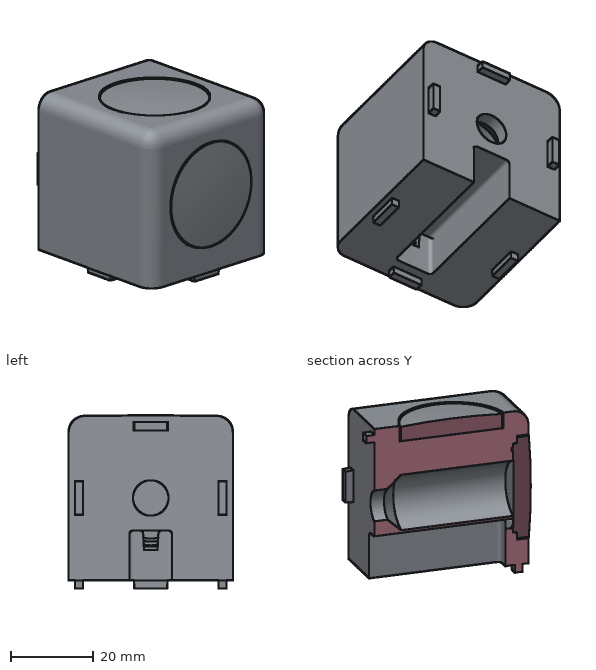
import cadquery as cq
import math

SIDE = 40.0
HALF = SIDE / 2
EDGE_RADIUS = 4.0

TAB_HEIGHT = 2.0
TAB_THICKNESS = 2.0
TAB_LENGTH = 8.27
TAB_END_DRAFT = 0.13
TAB_INSET = 1.55
TAB_OFFSET = HALF - TAB_INSET - TAB_THICKNESS / 2

CAP_RADIUS = 13.3
CAP_GAP = 0.2
DOME_RADIUS = 170.55
DOME_SAG = DOME_RADIUS - math.sqrt(DOME_RADIUS**2 - CAP_RADIUS**2)
TOP_CAP_RISE = 0.2
TOP_CAP_DEPTH = 4.0
FRONT_CAP_RISE = 0.65
RIM_DEPTH = 3.0

HUB_DEPTH = 4.0
HUB_RADIUS = 11.5
HUB_FOOT_RADIUS = 11.8
RIDGE_RADIUS = 10.25
RIDGE_HALF_WIDTH = 0.4

HOLE_RADIUS = 4.3
HOLE_LENGTH = 3.5
BORE_RADIUS = 7.35
FLARE_LENGTH = 3.5

SLOT_WIDTH = 10.45
SLOT_HEIGHT = 12.05
SLOT_CORNER_RADIUS = 1.0
SLOT_END_WALL = 2.0
SLOT_LENGTH = SIDE - HUB_DEPTH - SLOT_END_WALL
SLOT_CEILING = SLOT_HEIGHT - HALF
NOTCH_TOP_WIDTH = 3.65
NOTCH_BOTTOM_WIDTH = 3.25
NOTCH_FLARE = 0.75
NOTCH_REACH = 12.7


def rounded_cube():
    """Cube with its +X and top edges rounded; the -X and bottom edges stay sharp."""
    cube = cq.Workplane("XY").box(SIDE, SIDE, SIDE)
    return cube.edges("(|X and >Z) or (>X and |Z) or (>X and >Z)").fillet(EDGE_RADIUS)


def tab():
    """Tab standing on the XY plane, long along X, with slightly drafted ends."""
    half_length = TAB_LENGTH / 2
    tip = half_length - TAB_END_DRAFT
    outline = [(-half_length, 0), (half_length, 0), (tip, TAB_HEIGHT), (-tip, TAB_HEIGHT)]
    return cq.Workplane("XZ").polyline(outline).close().extrude(TAB_THICKNESS / 2, both=True)


def face_tabs():
    """Three tabs on the -Z face: one along each Y side and one along the +X side."""
    hanging = tab().rotate((0, 0, 0), (1, 0, 0), 180)
    tabs = hanging.rotate((0, 0, 0), (0, 0, 1), 90).translate((TAB_OFFSET, 0, -HALF))
    for side in (-1, 1):
        tabs = tabs.add(hanging.translate((0, side * TAB_OFFSET, -HALF)))
    return tabs


def on_minus_x(shape):
    """Turn a feature of the -Z face onto the -X face, its +X side going to the top."""
    return shape.rotate((0, 0, 0), (0, 1, 0), 90).rotate((0, 0, 0), (1, 0, 0), 180)


def top_cap():
    """Plain disc with a domed top whose rim lies just below the top face."""
    apex = HALF + TOP_CAP_RISE
    floor = HALF - TOP_CAP_DEPTH
    profile = (
        cq.Workplane("XZ")
        .moveTo(0, floor)
        .lineTo(CAP_RADIUS, floor)
        .lineTo(CAP_RADIUS, apex - DOME_SAG)
        .radiusArc((0, apex), -DOME_RADIUS)
        .close()
    )
    return profile.revolve(360, (0, 0, 0), (0, 1, 0))


def front_cap():
    """Domed disc on the X axis with a raised hub and a round ridge on its back."""
    apex = HALF + FRONT_CAP_RISE
    hub_back = HALF - HUB_DEPTH
    rim_back = HALF - RIM_DEPTH
    profile = (
        cq.Workplane("XY")
        .moveTo(hub_back, 0)
        .lineTo(hub_back, RIDGE_RADIUS - RIDGE_HALF_WIDTH)
        .threePointArc(
            (hub_back - RIDGE_HALF_WIDTH, RIDGE_RADIUS),
            (hub_back, RIDGE_RADIUS + RIDGE_HALF_WIDTH),
        )
        .lineTo(hub_back, HUB_RADIUS)
        .lineTo(rim_back, HUB_FOOT_RADIUS)
        .lineTo(rim_back, CAP_RADIUS)
        .lineTo(apex - DOME_SAG, CAP_RADIUS)
        .radiusArc((apex, 0), DOME_RADIUS)
        .close()
    )
    return profile.revolve(360, (0, 0, 0), (1, 0, 0))


def cap_pocket(plane, depth):
    """Round pocket from an outer face, wider than a cap by the gap all round."""
    return cq.Workplane(plane).workplane(offset=HALF - depth).circle(CAP_RADIUS + CAP_GAP).extrude(depth)


def axial_bore():
    """Hole from the -X face, a conical flare, then a bore up to the front cap."""
    flare_start = HOLE_LENGTH - HALF
    flare_end = flare_start + FLARE_LENGTH
    bore_end = HALF - HUB_DEPTH
    outline = [
        (-HALF, 0),
        (-HALF, HOLE_RADIUS),
        (flare_start, HOLE_RADIUS),
        (flare_end, BORE_RADIUS),
        (bore_end, BORE_RADIUS),
        (bore_end, 0),
    ]
    return cq.Workplane("XY").polyline(outline).close().revolve(360, (0, 0, 0), (1, 0, 0))


def slot():
    """Slot with rounded ceiling corners and rounded upright corners at its end."""
    block = cq.Workplane("XY").box(SLOT_LENGTH, SLOT_WIDTH, SLOT_HEIGHT, centered=(False, True, False))
    ceiling_rounded = block.edges("|X and >Z").fillet(SLOT_CORNER_RADIUS)
    end_rounded = block.edges("|Z and >X").fillet(SLOT_CORNER_RADIUS)
    return ceiling_rounded.intersect(end_rounded).translate((-HALF, 0, -HALF))


def notch():
    """Tapered notch from the slot to the front cap, flared at the slot ceiling."""
    start = SLOT_LENGTH - HALF - SLOT_CORNER_RADIUS
    length = SLOT_END_WALL + HUB_DEPTH - RIM_DEPTH + SLOT_CORNER_RADIUS
    half_top = NOTCH_TOP_WIDTH / 2
    half_bottom = NOTCH_BOTTOM_WIDTH / 2
    shoulder = SLOT_CEILING - NOTCH_FLARE
    outline = (
        cq.Workplane("YZ")
        .workplane(offset=start)
        .moveTo(-half_top - NOTCH_FLARE, SLOT_CEILING)
        .lineTo(half_top + NOTCH_FLARE, SLOT_CEILING)
        .radiusArc((half_top, shoulder), -NOTCH_FLARE)
        .lineTo(half_bottom, -NOTCH_REACH)
        .lineTo(-half_bottom, -NOTCH_REACH)
        .lineTo(-half_top, shoulder)
        .radiusArc((-half_top - NOTCH_FLARE, SLOT_CEILING), -NOTCH_FLARE)
        .close()
    )
    reach = cq.Workplane("YZ").workplane(offset=start).circle(NOTCH_REACH).extrude(length)
    return outline.extrude(length).intersect(reach)


def build_housing(front_body):
    """Cube with tabs, pockets, bore, slot and notch, and a seat matching the front cap."""
    body = rounded_cube()
    for piece in face_tabs().vals() + on_minus_x(face_tabs()).vals():
        body = body.union(cq.Workplane(piece))
    body = body.cut(cap_pocket("XY", TOP_CAP_DEPTH))
    body = body.cut(cap_pocket("YZ", RIM_DEPTH))
    body = body.cut(axial_bore())
    body = body.cut(slot())
    body = body.cut(notch())
    return body.cut(front_body)


top_button = top_cap()
front_button = front_cap()
housing = build_housing(front_button)

result = cq.Compound.makeCompound([housing.solids().val(), top_button.val(), front_button.val()])